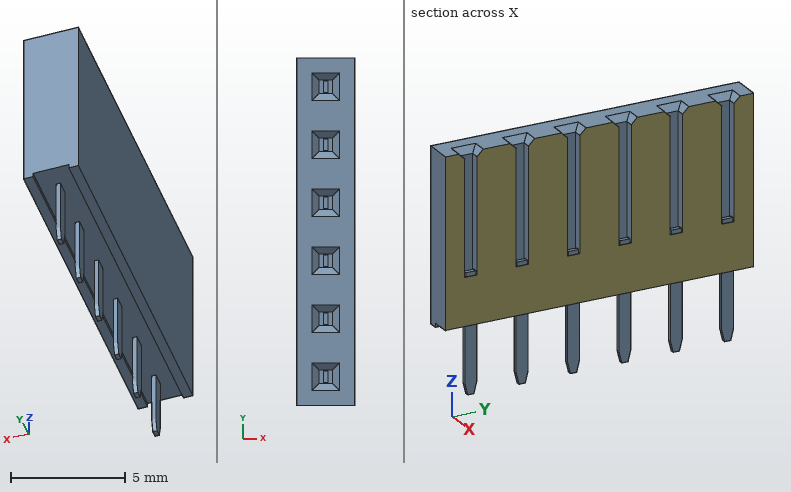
import cadquery as cq

pin_count = 6
body_length = 15.24
body_width = 2.55
body_height = 8.5
pitch = body_length / pin_count

channel_width = 1.66
channel_depth = 0.2

funnel_mouth = 1.2
hole_side = 0.6
funnel_depth = (funnel_mouth - hole_side) / 2
hole_depth = 5.95

pin_thickness = 0.2
pin_width = 0.6
pin_length = 3.1
tip_width = 0.3
tip_length = 0.58
blade_width = 0.5
blade_height = 0.2

pin_positions = [(i - (pin_count - 1) / 2) * pitch for i in range(pin_count)]


def make_body():
    """Housing block with its lower face at Z = 0 and the channel cut along Y."""
    block = cq.Workplane("XY").box(body_width, body_length, body_height, centered=(True, True, False))
    channel = cq.Workplane("XY").box(channel_width, body_length, channel_depth, centered=(True, True, False))
    return block.cut(channel)


def make_socket():
    """Volume of one socket opening, centred on the origin in X and Y."""
    funnel = (
        cq.Workplane("XY", origin=(0, 0, body_height - funnel_depth))
        .rect(hole_side, hole_side)
        .workplane(offset=funnel_depth)
        .rect(funnel_mouth, funnel_mouth)
        .loft()
    )
    hole = (
        cq.Workplane("XY", origin=(0, 0, body_height - hole_depth))
        .rect(hole_side, hole_side)
        .extrude(hole_depth - funnel_depth)
    )
    return funnel.union(hole)


def make_pin():
    """One pin, centred on the origin in X and Y, from its tip to its blade top."""
    tip_z = -pin_length
    taper_z = tip_z + tip_length
    blade_top_z = body_height - hole_depth + blade_height
    return (
        cq.Workplane("YZ")
        .moveTo(-tip_width / 2, tip_z)
        .lineTo(tip_width / 2, tip_z)
        .lineTo(pin_width / 2, taper_z)
        .lineTo(pin_width / 2, channel_depth)
        .lineTo(blade_width / 2, channel_depth)
        .lineTo(blade_width / 2, blade_top_z)
        .lineTo(-blade_width / 2, blade_top_z)
        .lineTo(-blade_width / 2, channel_depth)
        .lineTo(-pin_width / 2, channel_depth)
        .lineTo(-pin_width / 2, taper_z)
        .close()
        .extrude(pin_thickness / 2, both=True)
    )


socket = make_socket()
pin = make_pin()

result = make_body()
for y in pin_positions:
    result = result.cut(socket.translate((0, y, 0)))
    result = result.union(pin.translate((0, y, 0)))